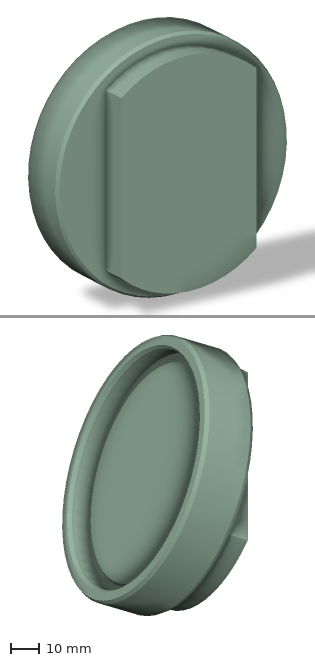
import cadquery as cq
import math

outer_radius = 49.45
body_width = 20.0
edge_bevel_width = 1.5
edge_bevel_angle = 30
edge_bevel_depth = edge_bevel_width * math.tan(math.radians(edge_bevel_angle))

recess_radius = 44.4
recess_mouth_radius = recess_radius + edge_bevel_depth
recess_depth = 8.0

pad_base_radius = 41.5
pad_top_radius = pad_base_radius - edge_bevel_depth
pad_height = 1.0

tang_radius = 44.55
tang_flat_spacing = 57.6
tang_length = 10.0


def make_body():
    """Turned body: bevelled rim, recess and pad in one half section."""
    bevel_radius = outer_radius - edge_bevel_depth
    pad_top = recess_depth - pad_height
    section = [
        (pad_top, 0),
        (pad_top, pad_top_radius),
        (recess_depth, pad_base_radius),
        (recess_depth, recess_radius),
        (edge_bevel_width, recess_radius),
        (0, recess_mouth_radius),
        (0, bevel_radius),
        (edge_bevel_width, outer_radius),
        (body_width - edge_bevel_width, outer_radius),
        (body_width, bevel_radius),
        (body_width, 0),
    ]
    return cq.Workplane("XZ").polyline(section).close().revolve(360, (0, 0, 0), (1, 0, 0))


def make_tang():
    """Disc segment with flats facing -Y and +Y."""
    half_spacing = tang_flat_spacing / 2
    flat_half_height = math.sqrt(tang_radius**2 - half_spacing**2)
    return (
        cq.Workplane("YZ", origin=(body_width, 0, 0))
        .moveTo(-half_spacing, -flat_half_height)
        .lineTo(-half_spacing, flat_half_height)
        .threePointArc((0, tang_radius), (half_spacing, flat_half_height))
        .lineTo(half_spacing, -flat_half_height)
        .threePointArc((0, -tang_radius), (-half_spacing, -flat_half_height))
        .close()
        .extrude(tang_length)
    )


result = make_body().union(make_tang())